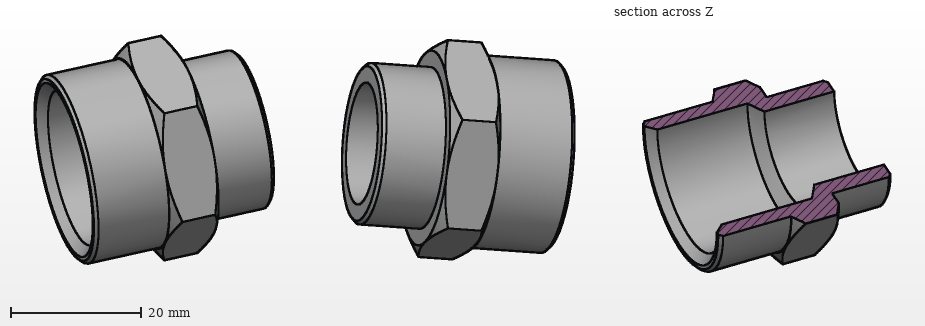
import cadquery as cq
import math

corner_diameter = 34.65
corner_radius = corner_diameter / 2
flat_radius = corner_radius * math.cos(math.radians(30))
hex_chamfer_angle = 30.0

socket_length = 12.0
hex_length = 8.0
spigot_length = 10.0
total_length = socket_length + hex_length + spigot_length

socket_radius = 14.85
spigot_radius = 12.47
end_chamfer = 0.55

mouth_radius = 13.7
counterbore_radius = 12.2
through_radius = 9.4
mouth_depth = 1.5
counterbore_depth = 16.63
seat_angle = 60.0


def revolve_about_axis(profile):
    """Revolve a closed (radius, distance along Y) profile about the Y axis."""
    return cq.Workplane("XY").polyline(profile).close().revolve(360, (0, 0, 0), (0, 1, 0))


def make_hexagon():
    """Hexagonal collar whose corners are turned down to the flats at both faces."""
    start = socket_length
    end = socket_length + hex_length
    prism = (
        cq.Workplane("XZ", origin=(0, start, 0))
        .polygon(6, corner_diameter)
        .extrude(-hex_length)
    )
    corner_drop = (corner_radius - flat_radius) * math.tan(math.radians(hex_chamfer_angle))
    turned_envelope = revolve_about_axis([
        (0, start),
        (flat_radius, start),
        (corner_radius, start + corner_drop),
        (corner_radius, end - corner_drop),
        (flat_radius, end),
        (0, end),
    ])
    return prism.intersect(turned_envelope)


def make_cylinders():
    """Socket and spigot cylinders, each with a chamfered end."""
    return revolve_about_axis([
        (0, 0),
        (socket_radius - end_chamfer, 0),
        (socket_radius, end_chamfer),
        (socket_radius, socket_length),
        (spigot_radius, socket_length),
        (spigot_radius, total_length - end_chamfer),
        (spigot_radius - end_chamfer, total_length),
        (0, total_length),
    ])


def make_bore():
    """Countersunk mouth, counterbore, conical seat and through hole."""
    seat_depth = (counterbore_radius - through_radius) / math.tan(math.radians(seat_angle))
    return revolve_about_axis([
        (0, 0),
        (mouth_radius, 0),
        (counterbore_radius, mouth_depth),
        (counterbore_radius, counterbore_depth),
        (through_radius, counterbore_depth + seat_depth),
        (through_radius, total_length),
        (0, total_length),
    ])


result = (
    make_cylinders()
    .union(make_hexagon())
    .cut(make_bore())
    .translate((0, -total_length / 2, 0))
)